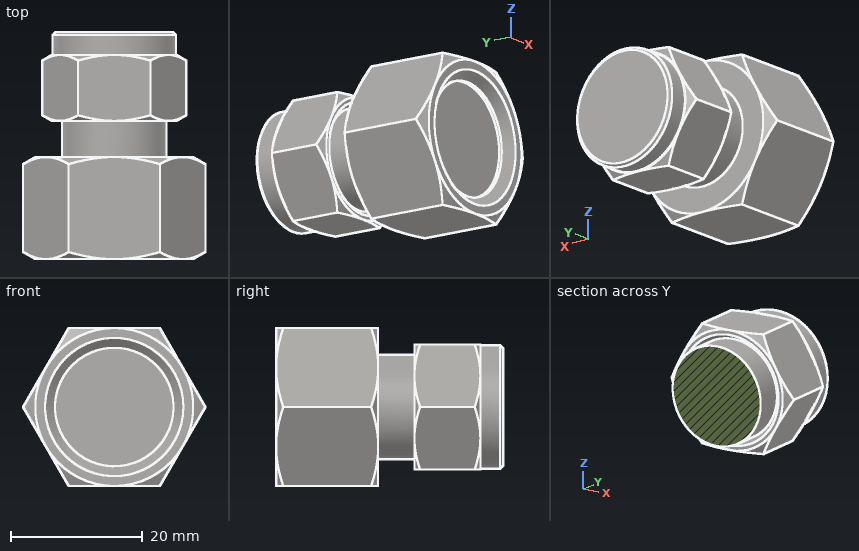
import cadquery as cq
import math

BODY_LENGTH = 15.5
NECK_LENGTH = 5.5
NUT_LENGTH = 10.0
COLLAR_LENGTH = 3.5

BODY_ACROSS_FLATS = 24.0
NUT_ACROSS_FLATS = 19.0
HEX_CHAMFER_ANGLE = 30.0
HEX_SIDES = 6

NECK_DIAMETER = 15.9
COLLAR_DIAMETER = 18.8
COLLAR_CHAMFER = 0.5

POCKET_MOUTH_DIAMETER = 21.0
POCKET_FLOOR_DIAMETER = 18.0
POCKET_CONE_DEPTH = 1.5
POCKET_DEPTH = 2.0

COUNTERSINK_DIAMETER = 17.5
COUNTERSINK_DEPTH = (COUNTERSINK_DIAMETER - NECK_DIAMETER) / 2

NECK_START = BODY_LENGTH
NUT_START = NECK_START + NECK_LENGTH
COLLAR_START = NUT_START + NUT_LENGTH


def plane_at(y):
    """Sketch plane facing +Y at the given axial position."""
    return cq.Workplane(cq.Plane(origin=(0, y, 0), xDir=(1, 0, 0), normal=(0, 1, 0)))


def cylinder(start, length, diameter):
    return plane_at(start).circle(diameter / 2).extrude(length)


def revolve_about_y(points):
    """Solid of revolution from (radius, y) points."""
    return cq.Workplane("XY").polyline(points).close().revolve(360, (0, 0, 0), (0, 1, 0))


def chamfered_hex(start, length, across_flats):
    """Hexagon with corners on the X axis, its corners turned conical at both ends."""
    flat_radius = across_flats / 2
    corner_radius = flat_radius / math.cos(math.pi / HEX_SIDES)
    corner_drop = (corner_radius - flat_radius) * math.tan(math.radians(HEX_CHAMFER_ANGLE))
    end = start + length
    prism = plane_at(start).polygon(HEX_SIDES, 2 * corner_radius).extrude(length)
    envelope = revolve_about_y([
        (0, start),
        (flat_radius, start),
        (corner_radius, start + corner_drop),
        (corner_radius, end - corner_drop),
        (flat_radius, end),
        (0, end),
    ])
    return prism.intersect(envelope)


def body():
    pocket = revolve_about_y([
        (0, 0),
        (POCKET_MOUTH_DIAMETER / 2, 0),
        (POCKET_FLOOR_DIAMETER / 2, POCKET_CONE_DEPTH),
        (POCKET_FLOOR_DIAMETER / 2, POCKET_DEPTH),
        (0, POCKET_DEPTH),
    ])
    return chamfered_hex(0, BODY_LENGTH, BODY_ACROSS_FLATS).cut(pocket)


def nut():
    hexagon = chamfered_hex(NUT_START, NUT_LENGTH, NUT_ACROSS_FLATS)
    collar = cylinder(COLLAR_START, COLLAR_LENGTH, COLLAR_DIAMETER)
    collar = collar.faces(">Y").chamfer(COLLAR_CHAMFER)
    countersink = revolve_about_y([
        (0, NUT_START),
        (COUNTERSINK_DIAMETER / 2, NUT_START),
        (NECK_DIAMETER / 2, NUT_START + COUNTERSINK_DEPTH),
        (0, NUT_START + COUNTERSINK_DEPTH),
    ])
    return hexagon.union(collar).cut(countersink)


def neck():
    """Stem joining the body to the floor of the nut countersink."""
    return cylinder(NECK_START, NECK_LENGTH + COUNTERSINK_DEPTH, NECK_DIAMETER)


result = body().union(nut()).union(neck())